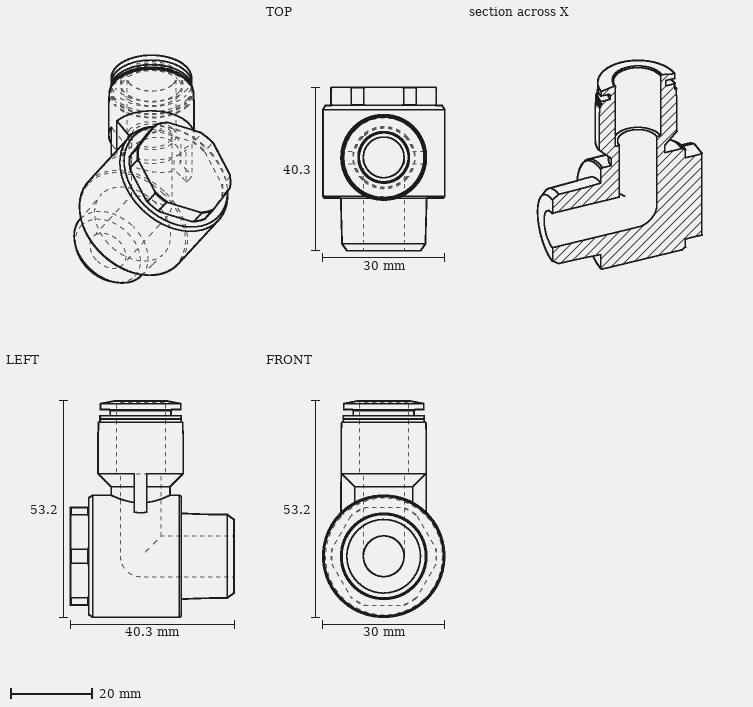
import cadquery as cq


body_radius = 15.0
body_front_y = -10.0
body_back_y = 12.75
front_chamfer_length = 0.5
front_chamfer_depth = 0.3
back_chamfer_length = 1.0
back_chamfer_depth = 0.65
spigot_end_y = -23.0
spigot_base_radius = 10.6
spigot_small_radius = 10.25
spigot_tip_radius = 9.05
spigot_tip_length = 1.7
hex_end_y = 17.25
hex_across_flats = 24.05
hex_corner_radius = 13.0
hex_edge_chamfer = 0.15

stem_radius = 21.0 / 2
stem_neck_radius = 7.25
stem_bottom_z = 20.3
neck_top_z = stem_bottom_z - (stem_radius - stem_neck_radius)
shoulder_z = 29.95
stem_top_z = 32.95
stem_top_radius = 10.4
ring_radius = 20.0 / 2
ring_top_z = 34.6
ring_groove_z = 33.75
ring_groove_width = 0.15
ring_groove_depth = 0.2
collar_neck_radius = 15.0 / 2
collar_flare_z = 35.7
collar_flare_radius = 7.65
collar_bottom_z = 36.0
collar_rim_z = 37.5
collar_radius = 19.8 / 2
collar_top_z = 53.2 - body_radius

rib_thickness = 3.05
bore_radius = 10.0 / 2
socket_radius = 12.0 / 2
socket_floor_z = stem_bottom_z
socket_chamfer = 0.3


def body():
    """Chamfered body and tapered spigot, revolved about Y."""
    profile = [
        (0, spigot_end_y),
        (spigot_tip_radius, spigot_end_y),
        (spigot_small_radius, spigot_end_y + spigot_tip_length),
        (spigot_base_radius, body_front_y),
        (body_radius - front_chamfer_depth, body_front_y),
        (body_radius, body_front_y + front_chamfer_length),
        (body_radius, body_back_y - back_chamfer_length),
        (body_radius - back_chamfer_depth, body_back_y),
        (0, body_back_y),
    ]
    return cq.Workplane("XY").polyline(profile).close().revolve(360, (0, 0, 0), (0, 1, 0))


def hex_head():
    """Hexagon with two flats facing up and down and its corners turned round."""
    length = hex_end_y - body_back_y
    base = cq.Workplane("XZ", origin=(0, hex_end_y, 0))
    flats_up = base.transformed(rotate=(0, 0, 30))
    hexagon = flats_up.polygon(6, hex_across_flats, circumscribed=True).extrude(length)
    turned = base.circle(hex_corner_radius).extrude(length).edges().chamfer(hex_edge_chamfer)
    return hexagon.intersect(turned)


def stem():
    """Stem, grooved ring and release collar, revolved about Z."""
    groove_floor = ring_radius - ring_groove_depth
    groove_low = ring_groove_z - ring_groove_width / 2
    groove_high = ring_groove_z + ring_groove_width / 2
    top_edge_radius = socket_radius + socket_chamfer
    profile = [
        (0, 0),
        (stem_neck_radius, 0),
        (stem_neck_radius, neck_top_z),
        (stem_radius, stem_bottom_z),
        (stem_radius, shoulder_z),
        (stem_top_radius, stem_top_z),
        (ring_radius, stem_top_z),
        (ring_radius, groove_low),
        (groove_floor, groove_low),
        (groove_floor, groove_high),
        (ring_radius, groove_high),
        (ring_radius, ring_top_z),
        (collar_neck_radius, ring_top_z),
        (collar_neck_radius, collar_flare_z),
        (collar_flare_radius, collar_bottom_z),
        (collar_radius, collar_bottom_z),
        (collar_radius, collar_rim_z),
        (top_edge_radius, collar_top_z),
        (0, collar_top_z),
    ]
    return cq.Workplane("XZ").polyline(profile).close().revolve(360, (0, 0, 0), (0, 1, 0))


def ribs():
    """Web below the stem, rounded to the stem cylinder, forming a rib on each side of its neck."""
    web = cq.Workplane("XY").rect(2 * stem_radius, rib_thickness).extrude(stem_bottom_z)
    return web.intersect(cq.Workplane("XY").circle(stem_radius).extrude(stem_bottom_z))


def passages():
    """Spigot bore and stem bore meeting in a ball-shaped elbow, plus the tube socket."""
    elbow = cq.Workplane("XY").sphere(bore_radius)
    spigot_bore = cq.Workplane("XZ").circle(bore_radius).extrude(-spigot_end_y)
    stem_bore = cq.Workplane("XY").circle(bore_radius).extrude(collar_top_z)
    socket = (
        cq.Workplane("XY", origin=(0, 0, socket_floor_z))
        .circle(socket_radius)
        .extrude(collar_top_z - socket_floor_z)
    )
    mouth = (
        cq.Workplane("XY", origin=(0, 0, collar_top_z))
        .circle(socket_radius + socket_chamfer)
        .extrude(-socket_chamfer, taper=45)
    )
    return elbow.union(spigot_bore).union(stem_bore).union(socket).union(mouth)


result = body().union(hex_head()).union(stem()).union(ribs()).cut(passages())